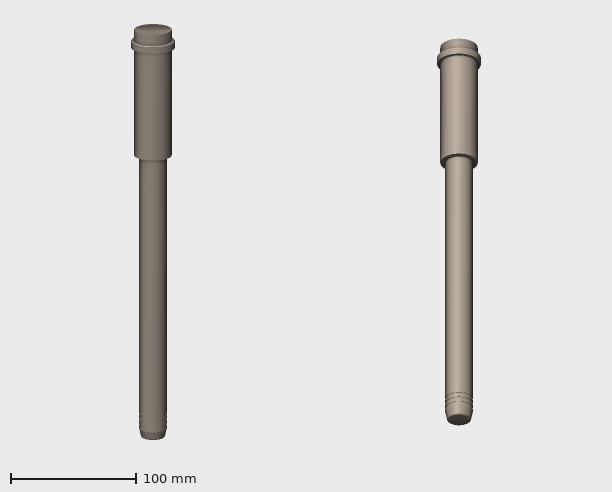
import cadquery as cq

total_length = 340.0

shank_diameter = 30.0
shank_length = 105.0
collar_diameter = 35.0
collar_height = 6.0
collar_chamfer = 0.5
head_above_collar = 9.0

rod_diameter = 22.0
tip_length = 7.0
tip_end_diameter = 18.8
tip_chamfer = 0.6

ring_width = 1.0
ring_depth = 0.5
groove_count = 3
groove_pitch = 4.2
first_groove_bottom = 10.0

shank_bottom = total_length - shank_length
collar_top = total_length - head_above_collar
collar_bottom = collar_top - collar_height


def cylinder(diameter, bottom, height):
    """Upright cylinder on the part axis."""
    return cq.Workplane("XY").workplane(offset=bottom).circle(diameter / 2).extrude(height)


def make_tip():
    """Cone that widens upward to the rod diameter, with a chamfered end face."""
    end_face = cq.Workplane("XY").circle(tip_end_diameter / 2)
    cone = end_face.workplane(offset=tip_length).circle(rod_diameter / 2).loft(ruled=True)
    return cone.faces("<Z").edges().chamfer(tip_chamfer)


def make_rod():
    """Plain rod between the tip and the shank."""
    return cylinder(rod_diameter, tip_length, shank_bottom - tip_length)


def make_shank():
    """Thick cylinder that forms the head."""
    return cylinder(shank_diameter, shank_bottom, shank_length)


def make_collar():
    """Collar with its upper rim chamfered."""
    collar = cylinder(collar_diameter, collar_bottom, collar_height)
    return collar.faces(">Z").edges().chamfer(collar_chamfer)


def make_ring(surface_diameter, bottom):
    """Ring of material to remove from a cylindrical surface."""
    outer = cylinder(surface_diameter, bottom, ring_width)
    core = cylinder(surface_diameter - 2 * ring_depth, bottom, ring_width)
    return outer.cut(core)


def cut_tip_grooves(body):
    """Evenly spaced grooves around the rod just above the tip."""
    for index in range(groove_count):
        body = body.cut(make_ring(rod_diameter, first_groove_bottom + index * groove_pitch))
    return body


def cut_shoulder_reliefs(body):
    """Reliefs beside the shank shoulder and on both sides of the collar."""
    body = body.cut(make_ring(rod_diameter, shank_bottom - ring_width))
    body = body.cut(make_ring(shank_diameter, collar_bottom - ring_width))
    return body.cut(make_ring(shank_diameter, collar_top))


blank = make_tip().union(make_rod()).union(make_shank()).union(make_collar())
result = cut_shoulder_reliefs(cut_tip_grooves(blank))